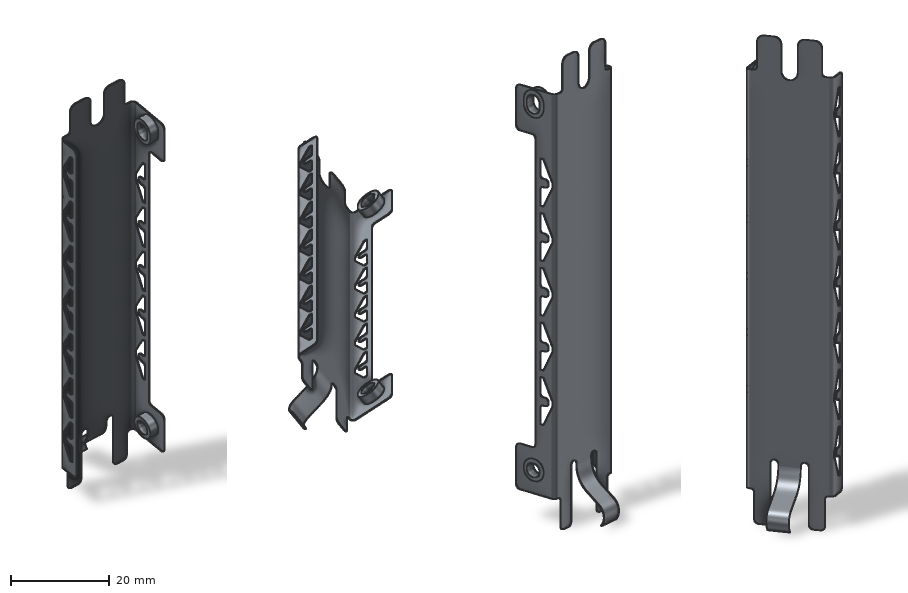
import cadquery as cq
import math

length = 103.8
width = 19.1
sheet = 0.2
bend_radius = 1.0
clear = 1.0
reach = 0.1

flange_bottom = 7.4
flange_top = 96.3
flange_depth = 5.2
flange_corner = 1.0
tab_depth = 10.2
tab_height = 10.1
tab_corner = 1.0
tab_root_fillet = 0.8

window_count = 7
window_span = 72.0
window_middle = 52.2
window_height = 10.4
window_near = 0.8
window_far = 3.8
window_apex = 1.3
window_end = 0.7
tongue_width = 1.9
tongue_tip = 1.8
tongue_fillet = 0.5

collar_x = 5.7
collar_width = 5.2
collar_wall = 0.9
collar_depth = 2.3
upper_collar_z = 92.9
upper_collar_height = 6.0
lower_collar_z = 12.5
lower_collar_height = 4.9

upper_prong_half = 7.1
upper_slot_width = 3.5
upper_slot_depth = 8.9
upper_prong_corner = 1.6
lower_prong_half = 7.7
lower_prong_inner = 4.2
lower_prong_corner = 1.0
shoulder_fillet = 0.7

finger_width = 4.9
finger_top = 12.8
relief_top = 14.0
finger_root_radius = 6.2
finger_slope = math.radians(55)
finger_straight = 3.8
finger_tip_radius = 3.1
finger_tip_angle = math.radians(40)

web_half = width / 2 - bend_radius
window_pitch = window_span / (window_count - 1)
through_web = (-clear, bend_radius)


def box(x_range, y_range, z_range):
    size = [high - low for low, high in (x_range, y_range, z_range)]
    corner = (x_range[0], y_range[0], z_range[0])
    return cq.Workplane("XY").box(*size, centered=False).translate(corner)


def around(position):
    return (position - reach, position + reach)


def round_corners(body, direction, x_range, y_range, z_range, radius):
    """Fillet the edges parallel to a direction whose centres lie in the given space."""
    space = cq.selectors.BoxSelector(*zip(x_range, y_range, z_range))
    return body.edges(direction).edges(space).fillet(radius)


def side_plane(y):
    """Sketch plane facing -Y, so that sketch coordinates are X and Z and extrusion runs along -Y."""
    return cq.Workplane(cq.Plane(origin=(0, y, 0), xDir=(1, 0, 0), normal=(0, -1, 0)))


def make_channel():
    """U-section with both flanges as deep as the tabs."""
    inner_half = width / 2 - sheet
    z_range = (flange_bottom, flange_top)
    outer = box((0, tab_depth), (-width / 2, width / 2), z_range)
    inner = box((sheet, tab_depth + clear), (-inner_half, inner_half), z_range)
    outer = outer.edges("|Z and <X").fillet(bend_radius)
    inner = inner.edges("|Z and <X").fillet(bend_radius - sheet)
    return outer.cut(inner)


def trim_flanges(body):
    """Shorten the front flange, and the back flange between its tabs."""
    beyond_flange = (flange_depth, tab_depth + clear)
    front, back, all_z = (-width, 0), (0, width), (0, length)
    between_tabs = (flange_bottom + tab_height, flange_top - tab_height)
    body = body.cut(box(beyond_flange, front, all_z))
    body = body.cut(box(beyond_flange, back, between_tabs))
    body = round_corners(body, "|Y", around(flange_depth), front, all_z, flange_corner)
    body = round_corners(body, "|Y", around(tab_depth), back, all_z, tab_corner)
    return round_corners(body, "|Y", around(flange_depth), back, all_z, tab_root_fillet)


def make_window():
    """Cutter for a window centred on z = 0, running through both flanges."""
    half_height = window_height / 2
    half_apex = window_apex / 2
    end_x = window_far - window_end
    triangle = (
        side_plane(width)
        .moveTo(window_far, -half_height)
        .lineTo(window_far, half_height)
        .lineTo(end_x, half_height)
        .lineTo(window_near, half_apex)
        .lineTo(window_near, -half_apex)
        .lineTo(end_x, -half_height)
        .close()
        .extrude(2 * width)
    )
    tip_radius = tongue_width / 2
    tongue = (
        side_plane(width)
        .moveTo(window_far + clear, -tip_radius)
        .lineTo(tongue_tip + tip_radius, -tip_radius)
        .threePointArc((tongue_tip, 0), (tongue_tip + tip_radius, tip_radius))
        .lineTo(window_far + clear, tip_radius)
        .close()
        .extrude(2 * width)
    )
    tongue_root = (-tongue_width, tongue_width)
    return round_corners(
        triangle.cut(tongue), "|Y", around(window_far), (-width, width), tongue_root, tongue_fillet
    )


def cut_windows(body):
    """The first and last windows are in the front flange only, as the back flange has its tabs there."""
    front_window = make_window().intersect(box((0, tab_depth), (-width, 0), (-length, length)))
    for index in range(window_count):
        at_end = index in (0, window_count - 1)
        window = front_window if at_end else make_window()
        z = window_middle + (index - (window_count - 1) / 2) * window_pitch
        body = body.cut(window.translate((0, 0, z)))
    return body


def collar_prism(slot_width, slot_height, z):
    """Round-ended prism running inward from the outside of the back flange."""
    slot_length = max(slot_width, slot_height)
    slot_diameter = min(slot_width, slot_height)
    angle = 90 if slot_height > slot_width else 0
    sketch = side_plane(width / 2).center(collar_x, z)
    return sketch.slot2D(slot_length, slot_diameter, angle).extrude(collar_depth)


def add_collar(body, height, z):
    bore_width = collar_width - 2 * collar_wall
    bore_height = height - 2 * collar_wall
    collar = collar_prism(collar_width, height, z)
    bore = collar_prism(bore_width, bore_height, z)
    return body.union(collar).cut(bore)


def web_slot(y, end_z, slot_width, depth):
    """Cutter for a round-bottomed slot running into the web from one of its ends."""
    sketch = cq.Workplane("YZ").center(y, end_z).slot2D(2 * depth, slot_width, 90)
    return sketch.extrude(clear, both=True)


def make_web():
    """Flat sheet between the bends, with the prongs and slots at both ends."""
    web = box((0, sheet), (-web_half, web_half), (0, length))

    for side in (-1, 1):
        upper_side = sorted((side * upper_prong_half, side * width))
        lower_side = sorted((side * lower_prong_half, side * width))
        web = web.cut(box(through_web, upper_side, (flange_top, length + clear)))
        web = web.cut(box(through_web, lower_side, (-clear, flange_bottom)))

    web = web.cut(web_slot(0, length, upper_slot_width, upper_slot_depth))

    half_finger = finger_width / 2
    relief_width = lower_prong_inner - half_finger
    relief_y = (lower_prong_inner + half_finger) / 2
    for side in (-1, 1):
        web = web.cut(web_slot(side * relief_y, 0, relief_width, relief_top))
    web = web.cut(box(through_web, (-half_finger, half_finger), (-clear, finger_top)))

    web = web.edges("|X and >Z").fillet(upper_prong_corner)
    web = web.edges("|X and <Z").fillet(lower_prong_corner)
    for side in (-1, 1):
        for half, z in ((upper_prong_half, flange_top), (lower_prong_half, flange_bottom)):
            web = round_corners(
                web, "|X", through_web, around(side * half), around(z), shoulder_fillet
            )
    return web


def make_finger():
    """S-shaped strip: an arc out of the web, a straight, and an arc curling back at the tip."""

    def root_point(radius, angle):
        x = -finger_root_radius + radius * math.cos(angle)
        z = finger_top - radius * math.sin(angle)
        return (x, z)

    root_end_x, root_end_z = root_point(finger_root_radius, finger_slope)
    tip_start_x = root_end_x - finger_straight * math.sin(finger_slope)
    tip_start_z = root_end_z - finger_straight * math.cos(finger_slope)
    tip_centre_x = tip_start_x + finger_tip_radius * math.cos(finger_slope)
    tip_centre_z = tip_start_z - finger_tip_radius * math.sin(finger_slope)

    def tip_point(radius, angle):
        x = tip_centre_x - radius * math.cos(angle)
        z = tip_centre_z + radius * math.sin(angle)
        return (x, z)

    outer_root = finger_root_radius
    inner_root = finger_root_radius + sheet
    outer_tip = finger_tip_radius
    inner_tip = finger_tip_radius - sheet
    half_slope = finger_slope / 2
    return (
        side_plane(finger_width / 2)
        .moveTo(*root_point(outer_root, 0))
        .threePointArc(root_point(outer_root, half_slope), root_point(outer_root, finger_slope))
        .lineTo(*tip_point(outer_tip, finger_slope))
        .threePointArc(tip_point(outer_tip, 0), tip_point(outer_tip, -finger_tip_angle))
        .lineTo(*tip_point(inner_tip, -finger_tip_angle))
        .threePointArc(tip_point(inner_tip, 0), tip_point(inner_tip, finger_slope))
        .lineTo(*root_point(inner_root, finger_slope))
        .threePointArc(root_point(inner_root, half_slope), root_point(inner_root, 0))
        .close()
        .extrude(finger_width)
    )


flanges = cut_windows(trim_flanges(make_channel()))
flanges = flanges.cut(box((0, sheet), (-web_half, web_half), (0, length)))
body = flanges.union(make_web()).union(make_finger())
body = add_collar(body, upper_collar_height, upper_collar_z)
result = add_collar(body, lower_collar_height, lower_collar_z)